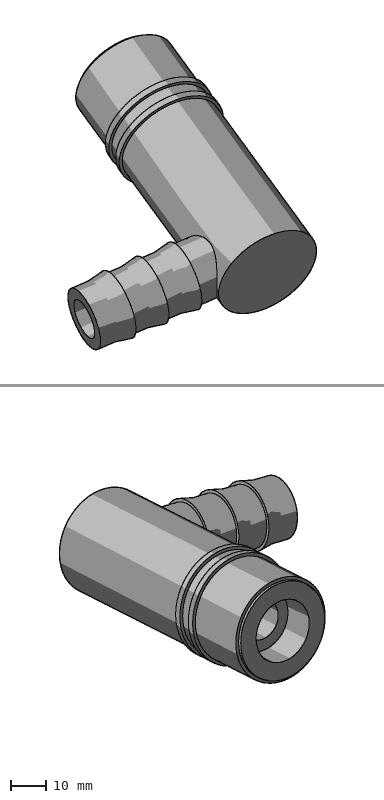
import cadquery as cq

body_length = 84.0
body_diameter = 32.0
spigot_diameter = 30.0
spigot_length = 1.0

bore_diameter = 12.0
socket_diameter = 19.0
socket_depth = 10.0

ring_diameter = 34.0
ring_width = 2.0
ring_pitch = 6.0
first_ring_x = 20.0
ring_count = 2

tail_diameter = 19.0
tail_end = 54.0
barb_diameter = 21.0
barb_length = 5.3
barb_pitch = 10.75
barb_count = 3
first_barb = 21.5
tail_x = body_length - barb_diameter / 2


def cylinder_along_x(diameter, start, length):
    """Cylinder on the tube axis, starting at X = start."""
    return cq.Workplane("YZ", origin=(start, 0, 0)).circle(diameter / 2).extrude(length)


def cylinder_along_tail(diameter, length, start_y=0):
    """Cylinder on the hose tail axis, from Y = start_y toward -Y."""
    return cq.Workplane("XZ", origin=(tail_x, start_y, 0)).circle(diameter / 2).extrude(length)


def make_barb(start):
    """Conical barb: full diameter at start, tapering to the tail toward its tip."""
    return (
        cq.Workplane("XZ", origin=(tail_x, -start, 0))
        .circle(barb_diameter / 2)
        .workplane(offset=barb_length)
        .circle(tail_diameter / 2)
        .loft(ruled=True)
    )


def make_passage():
    """Two equal bores meeting in a sharp mitred corner, which is their common volume."""
    full_tube_bore = cylinder_along_x(bore_diameter, 0, body_length)
    full_tail_bore = cylinder_along_tail(bore_diameter, 2 * tail_end, tail_end)
    corner = full_tube_bore.intersect(full_tail_bore)
    tube_bore = cylinder_along_x(bore_diameter, 0, tail_x)
    tail_bore = cylinder_along_tail(bore_diameter, tail_end)
    return tube_bore.union(tail_bore).union(corner)


def make_elbow():
    """Tube and barbed hose tail joined by one right-angled passage."""
    elbow = cylinder_along_x(spigot_diameter, 0, spigot_length)
    elbow = elbow.union(cylinder_along_x(body_diameter, spigot_length, body_length - spigot_length))
    elbow = elbow.union(cylinder_along_tail(tail_diameter, tail_end))
    for index in range(barb_count):
        elbow = elbow.union(make_barb(first_barb + index * barb_pitch))

    elbow = elbow.cut(cylinder_along_x(socket_diameter, 0, socket_depth))
    return elbow.cut(make_passage())


def make_ring(start):
    """Sealing ring fitted on the outside of the tube."""
    ring = cylinder_along_x(ring_diameter, start, ring_width)
    return ring.cut(cylinder_along_x(body_diameter, start, ring_width))


elbow = make_elbow()
rings = [make_ring(first_ring_x + index * ring_pitch) for index in range(ring_count)]

result = cq.Compound.makeCompound([elbow.val(), *[ring.val() for ring in rings]])